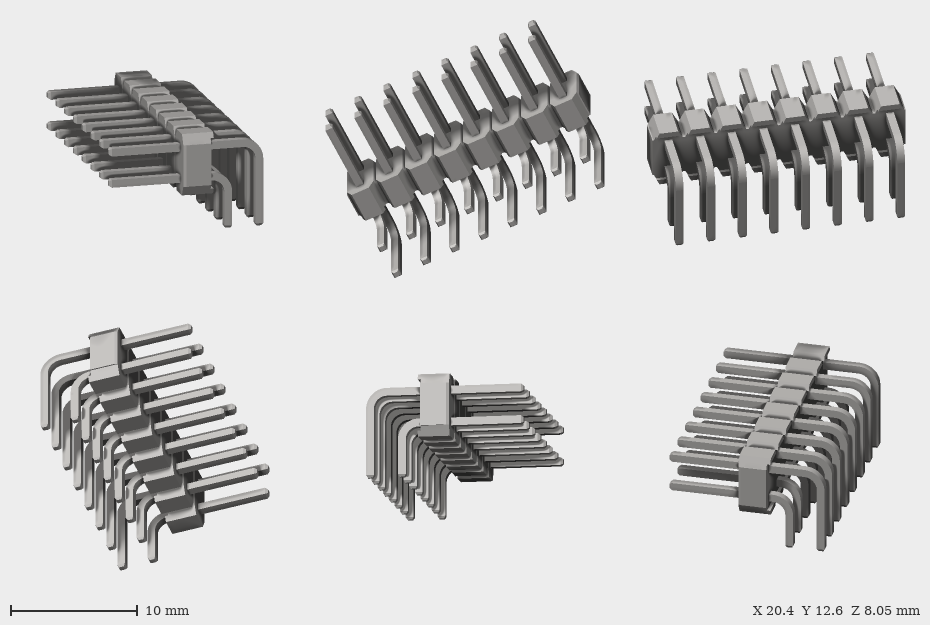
import cadquery as cq
import math


module_count = 8
pitch = 2.55

housing_depth = 2.55
housing_height = 5.0
body_width = 2.34
crown_width = 1.5
slope_height = 0.81

recess_depth = 0.26
rib_height = 0.45

pad_bevel_length = 0.22

pin_width = 0.63
pin_reach = 5.8
tail_drop = 3.05
bend_inner_radius = 1.02
tip_length = 0.2
tip_inset = 0.12

overall_depth = 12.55

half_height = housing_height / 2
half_body = body_width / 2
half_crown = crown_width / 2
shoulder_z = half_height - slope_height
recess_floor_y = housing_depth - recess_depth
recess_height = housing_height - 2 * rib_height
half_pin = pin_width / 2
bend_radius = bend_inner_radius + half_pin
tip_width = pin_width - 2 * tip_inset
tail_end_z = -half_height - tail_drop
upper_tail_y = overall_depth - pin_reach - half_pin
lower_tail_y = upper_tail_y - pitch


def make_octagon_body():
    """Octagonal prism with a recess across its rear face."""
    outline = [
        (-half_crown, half_height),
        (half_crown, half_height),
        (half_body, shoulder_z),
        (half_body, -shoulder_z),
        (half_crown, -half_height),
        (-half_crown, -half_height),
        (-half_body, -shoulder_z),
        (-half_body, shoulder_z),
    ]
    prism = cq.Workplane("XZ").polyline(outline).close().extrude(-housing_depth)
    recess = (
        cq.Workplane("XY")
        .box(pitch, recess_depth, recess_height, centered=(True, False, True))
        .translate((0, recess_floor_y, 0))
    )
    return prism.cut(recess)


def make_side_pads():
    """Slab that widens the body to the full pitch, bevelled at its front corners."""
    outline = [
        (-half_body, 0),
        (half_body, 0),
        (pitch / 2, pad_bevel_length),
        (pitch / 2, recess_floor_y),
        (-pitch / 2, recess_floor_y),
        (-pitch / 2, pad_bevel_length),
    ]
    return (
        cq.Workplane("XY", origin=(0, 0, -shoulder_z))
        .polyline(outline)
        .close()
        .extrude(2 * shoulder_z)
    )


def make_tip(plane):
    """Truncated pyramid that ends a pin, pointing along the plane normal."""
    return (
        cq.Workplane(plane)
        .rect(pin_width, pin_width)
        .workplane(offset=tip_length)
        .rect(tip_width, tip_width)
        .loft(ruled=True)
    )


def make_pin(pin_z, tail_y):
    """Square pin that runs back through the housing and bends down to its tail."""
    front_shoulder_y = tip_length - pin_reach
    tail_shoulder_z = tail_end_z + tip_length
    bend_centre = (tail_y - bend_radius, pin_z - bend_radius)
    diagonal = bend_radius * math.sin(math.pi / 4)
    path = (
        cq.Workplane("YZ")
        .moveTo(front_shoulder_y, pin_z)
        .lineTo(bend_centre[0], pin_z)
        .threePointArc(
            (bend_centre[0] + diagonal, bend_centre[1] + diagonal),
            (tail_y, bend_centre[1]),
        )
        .lineTo(tail_y, tail_shoulder_z)
    )
    front_plane = cq.Plane(origin=(0, front_shoulder_y, pin_z), xDir=(1, 0, 0), normal=(0, -1, 0))
    tail_plane = cq.Plane(origin=(0, tail_y, tail_shoulder_z), xDir=(1, 0, 0), normal=(0, 0, -1))
    shank = cq.Workplane(front_plane).rect(pin_width, pin_width).sweep(path)
    return shank.union(make_tip(front_plane)).union(make_tip(tail_plane))


def make_module(centre_x):
    """One header module: housing and its two pins as a single solid."""
    module = (
        make_octagon_body()
        .union(make_side_pads())
        .union(make_pin(pitch / 2, upper_tail_y))
        .union(make_pin(-pitch / 2, lower_tail_y))
    )
    return module.translate((centre_x, 0, 0))


first_x = -(module_count - 1) * pitch / 2
modules = [make_module(first_x + index * pitch) for index in range(module_count)]

result = cq.Compound.makeCompound([module.val() for module in modules])